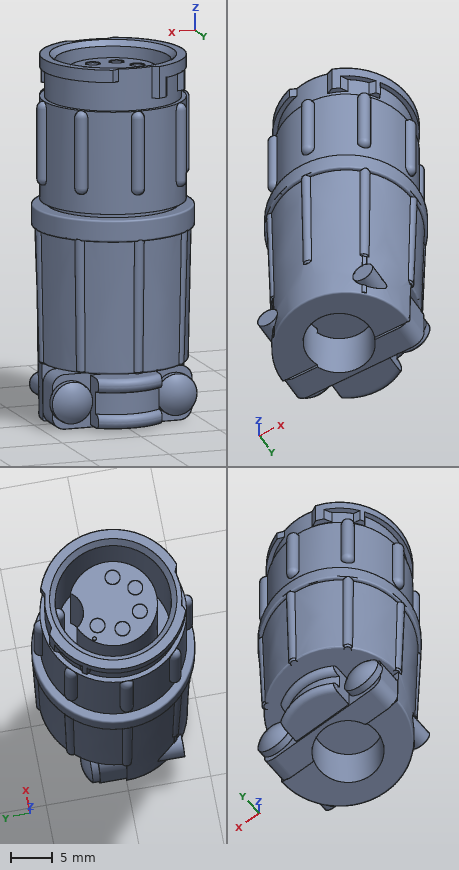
import cadquery as cq
import math

OVERALL_WIDTH = 19.57
TOTAL_HEIGHT = 44.8
RIM_BOTTOM = 43.25
LUG_BOTTOM = 40.9
SLEEVE_TOP = 39.65
SLEEVE_BOTTOM = 27.1
FLANGE_TOP = 26.5
FLANGE_BOTTOM = 23.87
STEP_LEVEL = 7.52
SHELL_BOTTOM = 0.4

RIM_RADIUS = 8.8
NECK_RADIUS = 8.2
SLEEVE_RADIUS = RIM_RADIUS
GROOVE_RADIUS = 7.95
FLANGE_RADIUS = 9.75
SHELL_TOP_RADIUS = 9.35
SHELL_BOTTOM_RADIUS = 8.85
FLANGE_FILLET = 0.22
SHELL_EDGE_FILLET = 0.22

SOCKET_RADIUS = 6.95
SOCKET_CHAMFER = 0.65
SOCKET_FLOOR = 31.35
INSERT_RADIUS = 5.3
INSERT_TOP = 43.1
KEYWAY_RADIUS = 2.7
KEYWAY_CENTER_Y = 6.35
CONTACT_RADIUS = 0.9
CONTACT_CIRCLE_RADIUS = 3.3
CONTACT_COUNT = 5
CONTACT_PITCH = 54
CONTACT_FIRST_ANGLE = -135
CONTACT_DEPTH = 0.15
MARK_RADIUS = 0.22
MARK_X = -3.9
MARK_Y = 3.0
KEY_RADIUS = 0.8
KEY_CENTER_Y = 6.75
KEY_TIP = 43.2

RIM_REPEATS = 2
GAP_INNER_ANGLE = 15
GAP_OUTER_ANGLE = 19.7
LUG_ANGLES = [
    (GAP_INNER_ANGLE, GAP_OUTER_ANGLE, 26.4, 32.4),
    (50.4, 54.8, 58.6, 60.2),
]
ROOT_OVERLAP = 0.22

RIB_COUNT = 8
RIB_ANGLE = 360 / RIB_COUNT
SLEEVE_RIB_RADIUS = 0.8
SLEEVE_RIB_DISTANCE = 8.82
SLEEVE_RIB_TOP = 38.85
SLEEVE_RIB_BOTTOM = 30.2
SHELL_RIB_RADIUS = 0.65
SHELL_RIB_TOP_DISTANCE = OVERALL_WIDTH / 2 - SHELL_RIB_RADIUS
SHELL_RIB_BOTTOM_DISTANCE = 8.65
RIB_END_CHAMFER = 0.22
SEAM_WIDTH = 0.55
SEAM_HEIGHT = 0.1
SEAM_OVERLAP = 0.45

CLAMP_HEIGHT = 6.7
CLAMP_HALF_WIDTH = 8.85
CLAMP_DEPTH = 3.25
CLAMP_CORNER_RADIUS = 1.6
CABLE_CENTER_Y = -1.6
CABLE_RADIUS = 4.3
SCREW_X = 6.65
SCREW_Z = CLAMP_HEIGHT / 2
SCREW_RADIUS = 1.4
SCREW_END_Y = -7.2
HEAD_RADIUS = 2.55
HEAD_HEIGHT = 1.9
HEAD_RIM = 0.9
SADDLE_HALF_WIDTH = 4.05
SADDLE_WEB_RADIUS = 6.5
SADDLE_FLANGE_RADIUS = 7.4
SADDLE_FLANGE_THICKNESS = 1.7
SADDLE_ROUNDING = 0.8
SADDLE_MARGIN = 0.3


def disc(radius, bottom, top):
    return cq.Workplane("XY").workplane(offset=bottom).circle(radius).extrude(top - bottom)


def capsule(radius, lower, upper):
    """Upright rod with hemispherical ends centred on the lower and upper levels."""
    bulge = radius * math.sqrt(0.5)
    return (
        cq.Workplane("XZ")
        .moveTo(0, lower - radius)
        .threePointArc((bulge, lower - bulge), (radius, lower))
        .lineTo(radius, upper)
        .threePointArc((bulge, upper + bulge), (0, upper + radius)).close()
        .revolve(360, (0, 0, 0), (0, 1, 0))
    )


def around_axis(shape, count):
    """Copies of a shape spread evenly around the Z axis, as one body."""
    copies = shape
    for i in range(1, count):
        copies = copies.union(shape.rotate((0, 0, 0), (0, 0, 1), i * 360 / count))
    return copies


def polar(radius, angle):
    """Point at a radius and an angle counted from -Y towards +X."""
    return radius * math.sin(math.radians(angle)), -radius * math.cos(math.radians(angle))


def ring_sector(inner_start, outer_start, outer_end, inner_end, bottom, top):
    """Piece of the rim ring with slanted end faces."""
    start_in = polar(NECK_RADIUS, inner_start)
    start_out = polar(RIM_RADIUS, outer_start)
    middle_out = polar(RIM_RADIUS, (outer_start + outer_end) / 2)
    end_out = polar(RIM_RADIUS, outer_end)
    end_in = polar(NECK_RADIUS, inner_end)
    root_start = polar(NECK_RADIUS - ROOT_OVERLAP, inner_start)
    root_middle = polar(NECK_RADIUS - ROOT_OVERLAP, (inner_start + inner_end) / 2)
    root_end = polar(NECK_RADIUS - ROOT_OVERLAP, inner_end)
    return (
        cq.Workplane("XY").workplane(offset=bottom)
        .moveTo(*root_start).lineTo(*start_in).lineTo(*start_out)
        .threePointArc(middle_out, end_out)
        .lineTo(*end_in).lineTo(*root_end)
        .threePointArc(root_middle, root_start).close()
        .extrude(top - bottom)
    )


def make_coupling():
    """Upper half: neck with rim and lugs, gripping sleeve, groove."""
    coupling = disc(NECK_RADIUS, SLEEVE_TOP, TOTAL_HEIGHT)
    coupling = coupling.union(disc(SLEEVE_RADIUS, SLEEVE_BOTTOM, SLEEVE_TOP))
    coupling = coupling.union(disc(GROOVE_RADIUS, FLANGE_BOTTOM, SLEEVE_BOTTOM))
    rim_half = ring_sector(
        GAP_INNER_ANGLE, GAP_OUTER_ANGLE,
        180 - GAP_OUTER_ANGLE, 180 - GAP_INNER_ANGLE,
        RIM_BOTTOM, TOTAL_HEIGHT,
    )
    coupling = coupling.union(around_axis(rim_half, RIM_REPEATS))
    for angles in LUG_ANGLES:
        lug = ring_sector(*angles, LUG_BOTTOM, RIM_BOTTOM)
        coupling = coupling.union(around_axis(lug, RIM_REPEATS))
    rib = capsule(SLEEVE_RIB_RADIUS, SLEEVE_RIB_BOTTOM, SLEEVE_RIB_TOP)
    rib = rib.translate((0, -SLEEVE_RIB_DISTANCE, 0))
    return coupling.union(around_axis(rib, RIB_COUNT))


def cut_socket(body):
    socket = (
        cq.Workplane("XZ")
        .polyline([
            (0, SOCKET_FLOOR),
            (SOCKET_RADIUS, SOCKET_FLOOR),
            (SOCKET_RADIUS, TOTAL_HEIGHT - SOCKET_CHAMFER),
            (SOCKET_RADIUS + SOCKET_CHAMFER, TOTAL_HEIGHT),
            (0, TOTAL_HEIGHT),
        ]).close()
        .revolve(360, (0, 0, 0), (0, 1, 0))
    )
    return body.cut(socket)


def make_insert():
    """Contact carrier with its keyway and shallow contact seats."""
    insert = disc(INSERT_RADIUS, SOCKET_FLOOR - ROOT_OVERLAP, INSERT_TOP)
    keyway = disc(KEYWAY_RADIUS, SOCKET_FLOOR, INSERT_TOP).translate((0, KEYWAY_CENTER_Y, 0))
    insert = insert.cut(keyway)
    seat = disc(CONTACT_RADIUS, INSERT_TOP - CONTACT_DEPTH, INSERT_TOP)
    for step in range(CONTACT_COUNT):
        x, y = polar(CONTACT_CIRCLE_RADIUS, CONTACT_FIRST_ANGLE + step * CONTACT_PITCH)
        insert = insert.cut(seat.translate((x, y, 0)))
    mark = disc(MARK_RADIUS, INSERT_TOP - CONTACT_DEPTH, INSERT_TOP)
    return insert.cut(mark.translate((MARK_X, MARK_Y, 0)))


def make_key():
    """Round-tipped key standing against the socket wall."""
    key = capsule(KEY_RADIUS, SOCKET_FLOOR, KEY_TIP - KEY_RADIUS)
    return key.translate((0, KEY_CENTER_Y, 0))


def shell_radius(z):
    """Radius of the tapered shell surface at a given level."""
    taper = (SHELL_TOP_RADIUS - SHELL_BOTTOM_RADIUS) / (FLANGE_BOTTOM - SHELL_BOTTOM)
    return SHELL_BOTTOM_RADIUS + taper * (z - SHELL_BOTTOM)


def tapered_shell(bottom):
    """Shell cone from the given level up to the flange, rounded at its lower edge."""
    return (
        cq.Workplane("XZ")
        .polyline([
            (0, bottom),
            (shell_radius(bottom), bottom),
            (SHELL_TOP_RADIUS, FLANGE_BOTTOM),
            (0, FLANGE_BOTTOM),
        ]).close()
        .revolve(360, (0, 0, 0), (0, 1, 0))
        .faces("<Z").edges().fillet(SHELL_EDGE_FILLET)
    )


def make_shell():
    """Tapered lower shell whose front half reaches lower, with flange and ribs."""
    rear = (
        cq.Workplane("XY")
        .box(OVERALL_WIDTH, OVERALL_WIDTH, FLANGE_BOTTOM, centered=(True, False, False))
    )
    shell = tapered_shell(STEP_LEVEL).union(tapered_shell(SHELL_BOTTOM).cut(rear))
    flange = disc(FLANGE_RADIUS, FLANGE_BOTTOM, FLANGE_TOP).edges().fillet(FLANGE_FILLET)

    rib_top = FLANGE_BOTTOM + ROOT_OVERLAP
    lean = math.degrees(math.atan2(
        SHELL_RIB_TOP_DISTANCE - SHELL_RIB_BOTTOM_DISTANCE, rib_top - STEP_LEVEL))
    rib = (
        disc(SHELL_RIB_RADIUS, STEP_LEVEL, rib_top)
        .faces("<Z").chamfer(RIB_END_CHAMFER)
        .rotate((0, 0, STEP_LEVEL), (1, 0, STEP_LEVEL), lean)
        .translate((0, -SHELL_RIB_BOTTOM_DISTANCE, 0))
    )
    return shell.union(flange).union(around_axis(rib, RIB_COUNT))


def make_seams():
    """Narrow raised seams that continue the diagonal front ribs downward."""
    bottom = SHELL_BOTTOM + SHELL_EDGE_FILLET
    top = STEP_LEVEL + SEAM_OVERLAP
    outline = [
        (-shell_radius(bottom) - SEAM_HEIGHT, bottom),
        (-shell_radius(bottom) + SEAM_OVERLAP, bottom),
        (-shell_radius(top) + SEAM_OVERLAP, top),
        (-shell_radius(top) - SEAM_HEIGHT, top),
    ]
    seam = cq.Workplane("YZ").polyline(outline).close().extrude(SEAM_WIDTH / 2, both=True)
    left = seam.rotate((0, 0, 0), (0, 0, 1), -RIB_ANGLE)
    right = seam.rotate((0, 0, 0), (0, 0, 1), RIB_ANGLE)
    return left.union(right)


def make_screw():
    """Clamp screw along Y with a domed head."""
    shank = (
        cq.Workplane("XZ", origin=(0, CLAMP_DEPTH, 0))
        .circle(SCREW_RADIUS).extrude(CLAMP_DEPTH - SCREW_END_Y)
    )
    dome_y = CLAMP_DEPTH + HEAD_RIM
    head_top = CLAMP_DEPTH + HEAD_HEIGHT
    dome_height = HEAD_HEIGHT - HEAD_RIM
    dome_radius = (HEAD_RADIUS ** 2 + dome_height ** 2) / (2 * dome_height)
    half_angle = math.asin(HEAD_RADIUS / dome_radius) / 2
    dome_middle = (
        dome_radius * math.sin(half_angle),
        head_top - dome_radius * (1 - math.cos(half_angle)),
    )
    head = (
        cq.Workplane("XY")
        .moveTo(0, CLAMP_DEPTH)
        .lineTo(HEAD_RADIUS, CLAMP_DEPTH)
        .lineTo(HEAD_RADIUS, dome_y)
        .threePointArc(dome_middle, (0, head_top)).close()
        .revolve(360, (0, 0, 0), (0, 1, 0))
    )
    return shank.union(head)


def make_clamp():
    """Clamp bar with a raised, flanged saddle over the cable."""
    bar = (
        cq.Workplane("XY")
        .box(2 * CLAMP_HALF_WIDTH, CLAMP_DEPTH, CLAMP_HEIGHT, centered=(True, False, False))
        .edges("|Y").fillet(CLAMP_CORNER_RADIUS)
    )
    flange = disc(SADDLE_FLANGE_RADIUS, 0, SADDLE_FLANGE_THICKNESS).edges().fillet(SADDLE_ROUNDING)
    top_flange_z = CLAMP_HEIGHT - SADDLE_MARGIN - SADDLE_FLANGE_THICKNESS
    web_inset = SADDLE_MARGIN + SADDLE_FLANGE_THICKNESS / 2
    saddle = disc(SADDLE_WEB_RADIUS, web_inset, CLAMP_HEIGHT - web_inset)
    for z in (SADDLE_MARGIN, top_flange_z):
        saddle = saddle.union(flange.translate((0, 0, z)))
    saddle_limits = cq.Workplane("XY").box(
        2 * SADDLE_HALF_WIDTH, SADDLE_FLANGE_RADIUS, CLAMP_HEIGHT, centered=(True, False, False))
    saddle = saddle.intersect(saddle_limits)
    return bar.union(saddle)


result = cut_socket(make_coupling()).union(make_insert()).union(make_key())
result = result.union(make_shell()).union(make_seams()).union(make_clamp())
result = result.cut(disc(CABLE_RADIUS, 0, STEP_LEVEL).translate((0, CABLE_CENTER_Y, 0)))
for side in (-1, 1):
    result = result.union(make_screw().translate((side * SCREW_X, 0, SCREW_Z)))